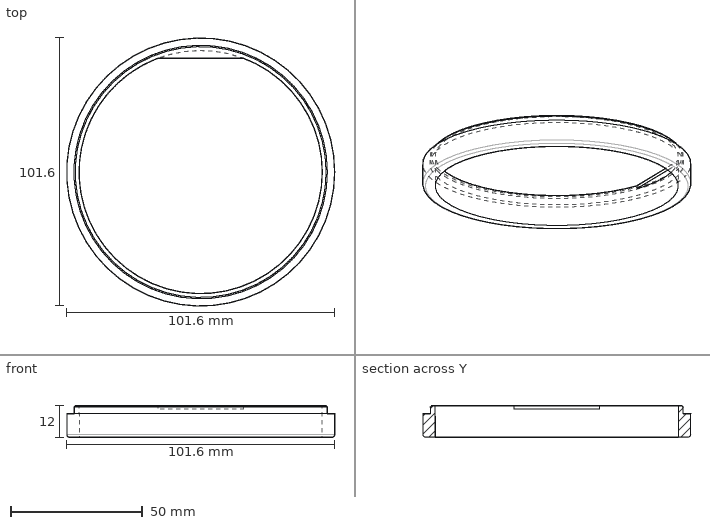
import cadquery as cq

outer_diameter = 101.6
spigot_diameter = 96.0
bore_diameter = 92.0
total_height = 12.0
spigot_height = 3.0
bottom_fillet = 1.0
top_chamfer = 0.5
flat_distance = 43.1
tab_thickness = 1.2

body_height = total_height - spigot_height


def make_ring():
    """Stepped ring with a rounded lower rim and a bevelled spigot."""
    body = cq.Workplane("XY").circle(outer_diameter / 2).extrude(body_height)
    body = body.faces("<Z").edges().fillet(bottom_fillet)
    spigot = (
        cq.Workplane("XY")
        .workplane(offset=body_height)
        .circle(spigot_diameter / 2)
        .extrude(spigot_height)
    )
    spigot = spigot.faces(">Z").edges().chamfer(top_chamfer)
    bore = cq.Workplane("XY").circle(bore_diameter / 2).extrude(total_height)
    return body.union(spigot).cut(bore)


def make_tab():
    """Thin circular segment closing the +Y end of the bore, flush with the top."""
    tab_bottom = total_height - tab_thickness
    tab_radius = (bore_diameter + spigot_diameter) / 4
    disc = (
        cq.Workplane("XY")
        .workplane(offset=tab_bottom)
        .circle(tab_radius)
        .extrude(tab_thickness)
    )
    beyond_flat = (
        cq.Workplane("XY")
        .workplane(offset=tab_bottom)
        .center(0, flat_distance + outer_diameter / 2)
        .rect(outer_diameter, outer_diameter)
        .extrude(tab_thickness)
    )
    return disc.intersect(beyond_flat)


result = make_ring().union(make_tab()).clean()